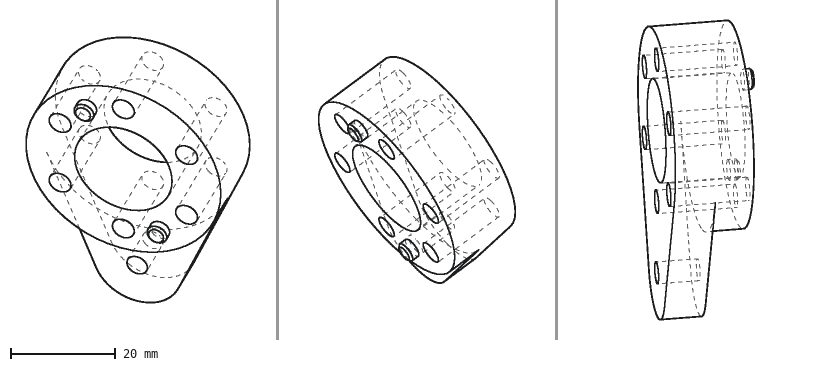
import cadquery as cq
import math

ring_diameter = 40.0
ring_radius = ring_diameter / 2
ring_depth = 15.3
bore_diameter = ring_diameter / 2

pitch_radius = 15.0
bolt_count = 6
bolt_hole_diameter = 4.5
pin_angles = (120, 300)
pin_diameter = 4.0
pin_height = 2.0
pin_chamfer = 0.5

overall_height = 59
lug_end_radius = 9.0
lug_depth = 8.0
lug_hole_diameter = 4.2
lug_center_z = -(overall_height - ring_radius - lug_end_radius)


def front_facing_plane(y):
    """Sketch plane at the given Y, looking out along -Y, with X right and Z up."""
    return cq.Workplane("XZ", origin=(0, y, 0))


def make_ring():
    return front_facing_plane(0).circle(ring_radius).extrude(ring_depth)


def make_lug():
    sine = (ring_radius - lug_end_radius) / -lug_center_z
    cosine = math.sqrt(1 - sine**2)
    ring_x, ring_z = ring_radius * cosine, -ring_radius * sine
    end_x, end_z = lug_end_radius * cosine, lug_center_z - lug_end_radius * sine
    return (
        front_facing_plane(0)
        .moveTo(-ring_x, ring_z)
        .lineTo(-end_x, end_z)
        .threePointArc((0, lug_center_z - lug_end_radius), (end_x, end_z))
        .lineTo(ring_x, ring_z)
        .threePointArc((0, ring_radius), (-ring_x, ring_z))
        .close()
        .extrude(lug_depth)
    )


def make_pin(angle):
    x = pitch_radius * math.cos(math.radians(angle))
    z = pitch_radius * math.sin(math.radians(angle))
    return (
        front_facing_plane(-ring_depth)
        .center(x, z)
        .circle(pin_diameter / 2)
        .extrude(pin_height)
        .faces("<Y")
        .chamfer(pin_chamfer)
    )


def make_through_holes():
    plane = front_facing_plane(0)
    bore = plane.circle(bore_diameter / 2).extrude(ring_depth)
    bolt_holes = (
        plane.polarArray(pitch_radius, 90, 360, bolt_count)
        .circle(bolt_hole_diameter / 2)
        .extrude(ring_depth)
    )
    lug_hole = (
        front_facing_plane(0)
        .center(0, lug_center_z)
        .circle(lug_hole_diameter / 2)
        .extrude(lug_depth)
    )
    return bore, bolt_holes, lug_hole


result = make_ring().union(make_lug())
for hole in make_through_holes():
    result = result.cut(hole)
for pin_angle in pin_angles:
    result = result.union(make_pin(pin_angle))